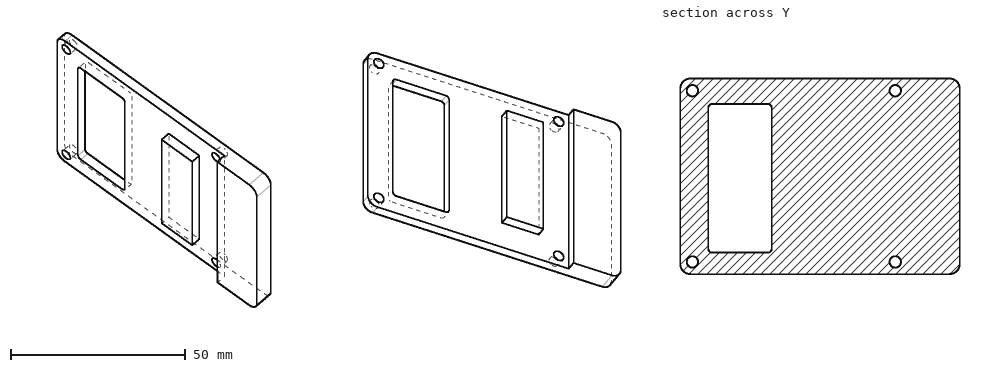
import cadquery as cq

length = 80.0
height = 56.0
total_depth = 6.0
plate_thickness = total_depth / 2
corner_radius = plate_thickness

band_width = 15.3

hole_diameter = 3.2
hole_inset = 3.5
hole_spacing_x = 58.0

window_left = 8.1
window_width = 18.1
window_bottom = 6.2
window_height = 42.4
window_corner_radius = 1.0

pad_left = 43.2
pad_width = 11.8
pad_bottom = 8.9
pad_height = 38.8


def block(left, bottom, width, tall, depth):
    """Box with its back on the rear face of the plate."""
    return cq.Workplane("XY").box(width, depth, tall, centered=False).translate(
        (left, total_depth - depth, bottom)
    )


body = block(0, 0, length, height, plate_thickness)
body = body.union(block(length - band_width, 0, band_width, height, total_depth))
rounded_outline = block(0, 0, length, height, total_depth).edges("|Y").fillet(corner_radius)
body = body.intersect(rounded_outline)

body = body.union(block(pad_left, pad_bottom, pad_width, pad_height, total_depth))

window = block(window_left, window_bottom, window_width, window_height, total_depth)
body = body.cut(window.edges("|Y").fillet(window_corner_radius))

hole_centers = [
    (x, z)
    for x in (hole_inset, hole_inset + hole_spacing_x)
    for z in (hole_inset, height - hole_inset)
]
holes = (
    cq.Workplane("XZ")
    .pushPoints(hole_centers)
    .circle(hole_diameter / 2)
    .extrude(-total_depth)
)
result = body.cut(holes)